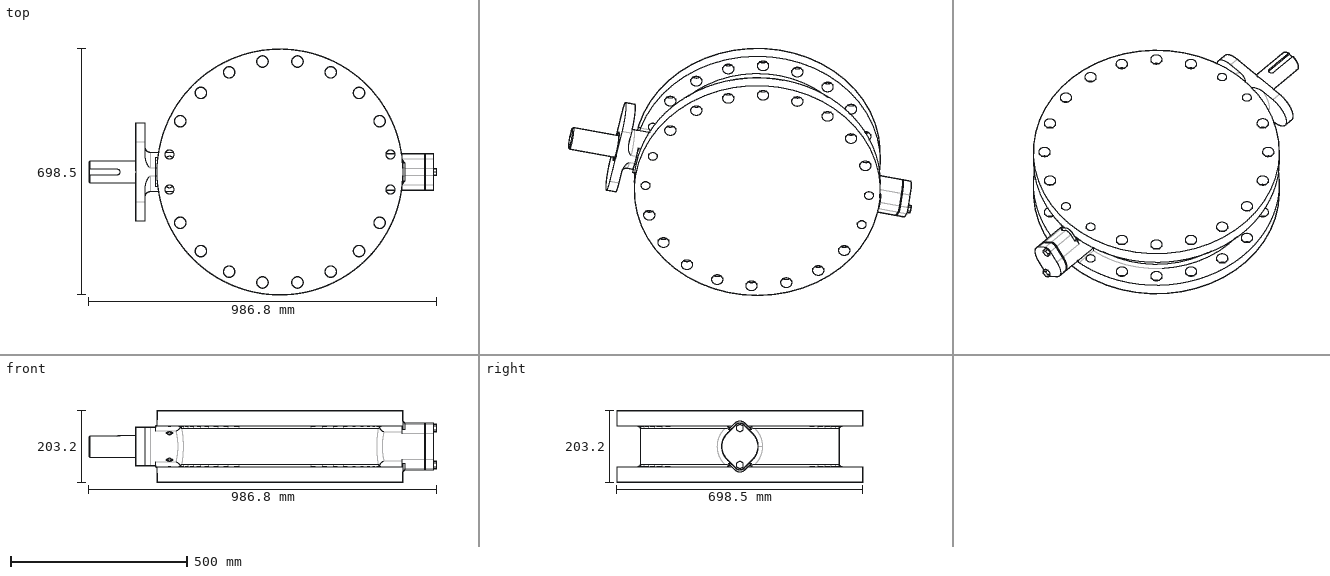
import cadquery as cq
import math

FACE_TO_FACE = 203.2
FLANGE_DIAMETER = 698.5
FLANGE_THICKNESS = 43.6
BODY_DIAMETER = 565.0
BODY_FILLET = 9.5
BLEND_ROOT_X = 260.0
BLEND_OVERLAP = 0.2

BOLT_CIRCLE = 635.0
BOLT_COUNT = 20
BOLT_HOLE_DIAMETER = 31.75
TAPPED_HOLE_DIAMETER = 25.4
DRILL_POINT_ANGLE = math.radians(118)
DRIVE_TAPPED_DEPTH = 63.6
COVER_TAPPED_DEPTH = 54.6

STEM_DIAMETER = 63.0
STEM_END_X = -541.84
STEM_CHAMFER = 3.0
KEY_WIDTH = 16.0
KEY_DEPTH = 9.0
KEY_LENGTH = 88.0
PLATE_FRONT_X = -410.0
PLATE_THICKNESS = 27.0
PLATE_LENGTH = 279.0
PLATE_HEIGHT = 109.4
RECESS_DIAMETER = 82.0
RECESS_DEPTH = 1.0
RELIEF_WIDTH = 9.0
DRIVE_NECK_RADIUS = 56.0
PLATE_FILLET = 15.0
NECK_BODY_FILLET = 16.0
DRIVE_FLANGE_FILLET = 8.5
RIM_OVERHANG = 4.0
GUSSET_RISE = 3.0
GUSSET_WIDTH = 24.0

COVER_NECK_RADIUS = 52.0
COVER_FLANGE_FILLET = 10.0
HOUSING_START_X = 347.0
HOUSING_END_X = 410.5
HOUSING_RIM_FILLET = 5.0
GASKET_THICKNESS = 3.0
GASKET_INSET = 1.0
COVER_END_X = 436.0
LUG_RADIUS = 15.0
COVER_BOLT_ACROSS_FLATS = 19.0
COVER_BOLT_END_X = 445.0

HALF_HEIGHT = FACE_TO_FACE / 2
HALF_GAP = HALF_HEIGHT - FLANGE_THICKNESS
FLANGE_RADIUS = FLANGE_DIAMETER / 2
BODY_RADIUS = BODY_DIAMETER / 2
STEM_RADIUS = STEM_DIAMETER / 2
PLATE_BACK_X = PLATE_FRONT_X + PLATE_THICKNESS
LUG_OFFSET = (COVER_NECK_RADIUS - LUG_RADIUS) * math.sqrt(2)


def yz_plane(x):
    """Sketch plane at x: local axes are Y and Z, the normal is +X."""
    return cq.Workplane("YZ", origin=(x, 0, 0))


def make_necked_body():
    """Body cylinder, ending inside the flanges, with both stem necks blended into it."""
    half_length = HALF_GAP + FLANGE_THICKNESS / 2
    body = cq.Workplane("XY").circle(BODY_RADIUS).extrude(half_length, both=True)
    drive_neck = yz_plane(PLATE_BACK_X).circle(DRIVE_NECK_RADIUS).extrude(-PLATE_BACK_X)
    cover_neck = yz_plane(0).circle(COVER_NECK_RADIUS).extrude(HOUSING_END_X)
    necked = body.union(drive_neck).union(cover_neck)
    junction = cq.selectors.BoxSelector(
        (-BODY_RADIUS - 1, -HALF_GAP, -HALF_GAP),
        (BODY_RADIUS + 1, HALF_GAP, HALF_GAP),
    )
    return necked.edges(junction).fillet(NECK_BODY_FILLET)


def make_flange():
    """Upper flange with the concave blend down to the body, sunk slightly into it."""
    touch_radius = BODY_RADIUS - BLEND_OVERLAP
    return (
        cq.Workplane("XZ")
        .moveTo(0, HALF_HEIGHT)
        .lineTo(FLANGE_RADIUS, HALF_HEIGHT)
        .lineTo(FLANGE_RADIUS, HALF_GAP)
        .lineTo(touch_radius + BODY_FILLET, HALF_GAP)
        .radiusArc((touch_radius, HALF_GAP - BODY_FILLET), -BODY_FILLET)
        .lineTo(0, HALF_GAP - BODY_FILLET)
        .close()
        .revolve(360, (0, 0, 0), (0, 1, 0))
    )


def make_neck_blend(neck_radius, fillet, start_x, end_x):
    """Concave blend between the top of a neck and the upper flange, sunk slightly into both."""
    center_z = HALF_GAP + BLEND_OVERLAP - fillet
    touch_radius = neck_radius - BLEND_OVERLAP
    center_y = math.sqrt((touch_radius + fillet) ** 2 - center_z ** 2)
    ratio = touch_radius / (touch_radius + fillet)
    touch_y = center_y * ratio
    touch_z = center_z * ratio
    top_z = HALF_GAP + BLEND_OVERLAP
    return (
        yz_plane(start_x)
        .moveTo(-center_y, top_z)
        .lineTo(center_y, top_z)
        .radiusArc((touch_y, touch_z), -fillet)
        .lineTo(-touch_y, touch_z)
        .radiusArc((-center_y, top_z), -fillet)
        .close()
        .extrude(end_x - start_x)
    )


def mirrored(shape):
    """The shape together with its mirror image below the stem axis."""
    return shape.union(shape.mirror("XY"))


def make_rim_gusset():
    """Small wedge that ties the drive neck to the flange rim."""
    outer_x = -FLANGE_RADIUS - RIM_OVERHANG
    bottom_z = PLATE_HEIGHT / 2 - RIM_OVERHANG
    return (
        cq.Workplane("XZ")
        .moveTo(outer_x, bottom_z)
        .lineTo(outer_x, HALF_GAP)
        .lineTo(-FLANGE_RADIUS, HALF_GAP + GUSSET_RISE)
        .lineTo(-BLEND_ROOT_X, HALF_GAP + GUSSET_RISE)
        .lineTo(-BLEND_ROOT_X, bottom_z)
        .close()
        .extrude(GUSSET_WIDTH / 2, both=True)
    )


def make_drive_plate():
    """Mounting plate with its blend to the neck, flush at top and bottom."""
    plate = yz_plane(PLATE_FRONT_X).slot2D(PLATE_LENGTH, PLATE_HEIGHT).extrude(PLATE_THICKNESS)
    blend = (
        cq.Workplane("XY")
        .moveTo(PLATE_BACK_X, 0)
        .lineTo(PLATE_BACK_X, DRIVE_NECK_RADIUS + PLATE_FILLET)
        .radiusArc((PLATE_BACK_X + PLATE_FILLET, DRIVE_NECK_RADIUS), -PLATE_FILLET)
        .lineTo(PLATE_BACK_X + PLATE_FILLET, 0)
        .close()
        .revolve(360, (0, 0, 0), (1, 0, 0))
    )
    return plate.union(blend)


def trim_drive_neck(shape):
    """Cut the neck flat, level with the long edges of the plate, outside the rim."""
    length = 2 * PLATE_THICKNESS
    start_x = -FLANGE_RADIUS - RIM_OVERHANG - length
    trim = (
        yz_plane(start_x)
        .center(0, PLATE_HEIGHT / 2 + PLATE_FILLET)
        .rect(PLATE_LENGTH, 2 * PLATE_FILLET)
        .extrude(length)
    )
    return shape.cut(mirrored(trim))


def cut_plate_recess(shape):
    """Round recess about the stem with a relief groove to each long edge."""
    recess = yz_plane(PLATE_FRONT_X).circle(RECESS_DIAMETER / 2).extrude(RECESS_DEPTH)
    groove = yz_plane(PLATE_FRONT_X).rect(RELIEF_WIDTH, PLATE_HEIGHT).extrude(RECESS_DEPTH)
    return shape.cut(recess).cut(groove)


def make_stem():
    """Keyed drive stem."""
    length = PLATE_BACK_X - STEM_END_X
    stem = yz_plane(STEM_END_X).circle(STEM_RADIUS).extrude(length)
    stem = stem.faces("<X").chamfer(STEM_CHAMFER)
    keyway = (
        cq.Workplane("XY", origin=(STEM_END_X, 0, STEM_RADIUS - KEY_DEPTH))
        .slot2D(2 * KEY_LENGTH, KEY_WIDTH)
        .extrude(KEY_DEPTH)
    )
    return stem.cut(keyway)


def make_lugged_block(start_x, end_x, inset=0.0):
    """Round block with a lug above and below, joined by tangent flanks."""
    round_radius = COVER_NECK_RADIUS - inset
    lug_radius = LUG_RADIUS - inset
    flank = math.sqrt(0.5)
    round_touch = round_radius * flank
    lug_touch_y = lug_radius * flank
    lug_touch_z = LUG_OFFSET + lug_radius * flank
    lug_tip = LUG_OFFSET + lug_radius
    return (
        yz_plane(start_x)
        .moveTo(round_touch, -round_touch)
        .threePointArc((round_radius, 0), (round_touch, round_touch))
        .lineTo(lug_touch_y, lug_touch_z)
        .threePointArc((0, lug_tip), (-lug_touch_y, lug_touch_z))
        .lineTo(-round_touch, round_touch)
        .threePointArc((-round_radius, 0), (-round_touch, -round_touch))
        .lineTo(-lug_touch_y, -lug_touch_z)
        .threePointArc((0, -lug_tip), (lug_touch_y, -lug_touch_z))
        .close()
        .extrude(end_x - start_x)
    )


def make_housing_rim_blend():
    """Sloped collar where the housing lugs meet the flange rims."""
    collar = make_lugged_block(HOUSING_START_X, FLANGE_RADIUS, -HOUSING_RIM_FILLET)
    collar = collar.faces(">X").wires().toPending().extrude(HOUSING_RIM_FILLET, taper=45)
    keep_height = LUG_OFFSET
    keep = (
        yz_plane(HOUSING_START_X)
        .center(0, HALF_GAP - COVER_FLANGE_FILLET + keep_height / 2)
        .rect(2 * COVER_NECK_RADIUS, keep_height)
        .extrude(COVER_END_X - HOUSING_START_X)
    )
    return collar.intersect(mirrored(keep))


def make_cover_bolts():
    """Hexagon bolt heads on the cover, corners pointing up and down."""
    across_corners = COVER_BOLT_ACROSS_FLATS / math.cos(math.pi / 6)
    head = (
        yz_plane(COVER_END_X)
        .transformed(offset=(0, LUG_OFFSET, 0), rotate=(0, 0, 90))
        .polygon(6, across_corners)
        .extrude(COVER_BOLT_END_X - COVER_END_X)
    )
    return mirrored(head)


def make_bolt_hole(x, y):
    """Plain bolt hole through the upper flange."""
    mouth = cq.Workplane("XY", origin=(x, y, HALF_HEIGHT))
    return mouth.circle(BOLT_HOLE_DIAMETER / 2).extrude(-FLANGE_THICKNESS)


def make_tapped_hole(x, y, depth):
    """Blind hole with a drill point, starting at the upper face."""
    radius = TAPPED_HOLE_DIAMETER / 2
    point_depth = radius / math.tan(DRILL_POINT_ANGLE / 2)
    return (
        cq.Workplane("XZ", origin=(x, y, HALF_HEIGHT))
        .lineTo(radius, 0)
        .lineTo(radius, -depth)
        .lineTo(0, -depth - point_depth)
        .close()
        .revolve(360, (0, 0, 0), (0, 1, 0))
    )


def cut_bolt_holes(shape):
    """Through bolt holes, with blind tapped holes beside the two necks."""
    pitch = 2 * math.pi / BOLT_COUNT
    for index in range(BOLT_COUNT):
        angle = (index + 0.5) * pitch
        x = BOLT_CIRCLE / 2 * math.cos(angle)
        y = BOLT_CIRCLE / 2 * math.sin(angle)
        beside_neck = abs(math.sin(angle)) < math.sin(pitch)
        if beside_neck:
            depth = DRIVE_TAPPED_DEPTH if x < 0 else COVER_TAPPED_DEPTH
            hole = make_tapped_hole(x, y, depth)
        else:
            hole = make_bolt_hole(x, y)
        shape = shape.cut(mirrored(hole))
    return shape


def make_valve():
    """Complete valve: body, flanges, drive side, cover side and holes."""
    drive_blend = make_neck_blend(
        DRIVE_NECK_RADIUS, DRIVE_FLANGE_FILLET, -FLANGE_RADIUS - RIM_OVERHANG, -BLEND_ROOT_X
    )
    cover_blend = make_neck_blend(
        COVER_NECK_RADIUS, COVER_FLANGE_FILLET, BLEND_ROOT_X, HOUSING_START_X
    )
    flange = make_flange().union(drive_blend).union(cover_blend).union(make_rim_gusset())
    valve = make_necked_body().union(flange).union(flange.mirror("XY"))
    valve = trim_drive_neck(valve.union(make_drive_plate()))
    valve = cut_plate_recess(valve).union(make_stem())

    cover_start_x = HOUSING_END_X + GASKET_THICKNESS
    valve = valve.union(make_lugged_block(HOUSING_START_X, HOUSING_END_X))
    valve = valve.union(make_housing_rim_blend())
    valve = valve.union(make_lugged_block(HOUSING_END_X, cover_start_x, GASKET_INSET))
    valve = valve.union(make_lugged_block(cover_start_x, COVER_END_X))
    valve = valve.union(make_cover_bolts())
    return cut_bolt_holes(valve)


result = make_valve()